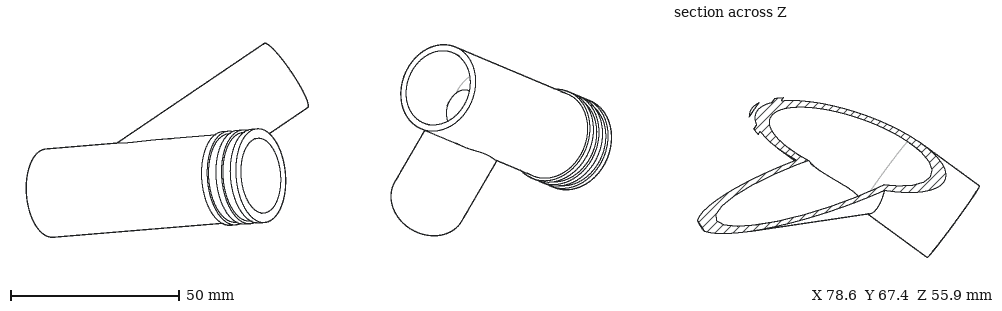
import cadquery as cq
import math

tilt = 25.0
pipe_length = 74.0
pipe_radius = 13.2
bore_radius = 11.15
inlet_bore_radius = 11.3
inlet_taper_length = 25.0

ring_radius = 14.0
ring_width = 2.0
ring_pitch = 5.0
ring_count = 3

branch_angle = 50.0
branch_position = 25.0
branch_length = 60.0
branch_radius = 11.55
branch_mouth_radius = 9.9
branch_root_radius = 9.5

origin = cq.Vector(0, 0, 0)
pipe_axis = cq.Vector(1, 0, 0)
branch_start = cq.Vector(branch_position, 0, 0)
branch_axis = cq.Vector(
    math.cos(math.radians(branch_angle)),
    math.sin(math.radians(branch_angle)),
    0,
)


def cylinder(radius, length, start, axis):
    return cq.Workplane(cq.Solid.makeCylinder(radius, length, start, axis))


def pipe_body():
    body = cylinder(pipe_radius, pipe_length, origin, pipe_axis)
    for index in range(ring_count):
        ring_start = cq.Vector(pipe_length - ring_width - index * ring_pitch, 0, 0)
        body = body.union(cylinder(ring_radius, ring_width, ring_start, pipe_axis))
    return body


def cone(start_radius, end_radius, length, start, axis):
    return cq.Workplane(cq.Solid.makeCone(start_radius, end_radius, length, start, axis))


def pipe_bore():
    """Straight bore with a slight taper that widens toward the inlet."""
    straight = cylinder(bore_radius, pipe_length, origin, pipe_axis)
    taper = cone(inlet_bore_radius, bore_radius, inlet_taper_length, origin, pipe_axis)
    return straight.union(taper)


def branch_bore():
    """Bore that widens evenly from the pipe to the branch mouth."""
    return cone(branch_root_radius, branch_mouth_radius, branch_length, branch_start, branch_axis)


branch_body = cylinder(branch_radius, branch_length, branch_start, branch_axis)
fitting = pipe_body().union(branch_body).cut(pipe_bore()).cut(branch_bore())
result = fitting.rotate((0, 0, 0), (0, 1, 0), -tilt)